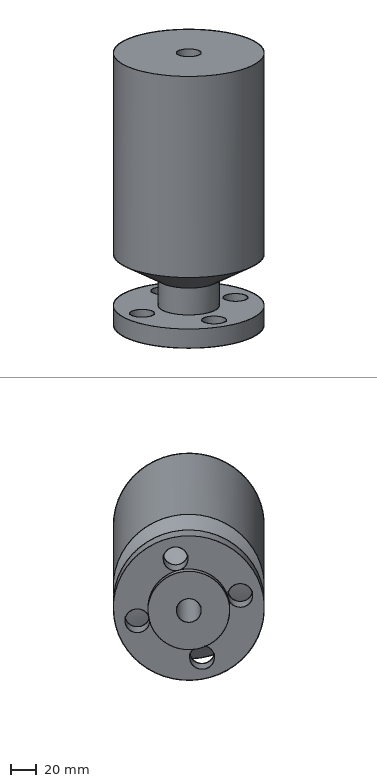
import cadquery as cq

total_height = 228.5
body_diameter = 117.3

raised_face_diameter = 63.5
raised_face_height = 6.5
flange_diameter = body_diameter
flange_thickness = 15.8
neck_diameter = 47.5
neck_length = 22.0
cone_height = 20.1

bore_diameter = 19.2
bolt_hole_diameter = 19.2
bolt_circle_diameter = 82.5
bolt_hole_count = 4

flange_bottom = raised_face_height
flange_top = flange_bottom + flange_thickness
cone_bottom = flange_top + neck_length
body_bottom = cone_bottom + cone_height


def disc(diameter, bottom, top):
    """Cylinder on the Z axis between two levels."""
    return cq.Workplane("XY").workplane(offset=bottom).circle(diameter / 2).extrude(top - bottom)


def turned_body():
    """Raised face, flange, neck, cone and main cylinder as one revolved profile."""
    profile = [
        (0, 0),
        (raised_face_diameter / 2, 0),
        (raised_face_diameter / 2, flange_bottom),
        (flange_diameter / 2, flange_bottom),
        (flange_diameter / 2, flange_top),
        (neck_diameter / 2, flange_top),
        (neck_diameter / 2, cone_bottom),
        (body_diameter / 2, body_bottom),
        (body_diameter / 2, total_height),
        (0, total_height),
    ]
    return cq.Workplane("XZ").polyline(profile).close().revolve(360, (0, 0, 0), (0, 1, 0))


def bolt_holes():
    """Cutters for the flange holes, on the X and Y axes."""
    return (
        cq.Workplane("XY")
        .workplane(offset=flange_bottom)
        .polarArray(bolt_circle_diameter / 2, 0, 360, bolt_hole_count)
        .circle(bolt_hole_diameter / 2)
        .extrude(flange_thickness)
    )


through_bore = disc(bore_diameter, 0, total_height)

result = turned_body().cut(through_bore).cut(bolt_holes())